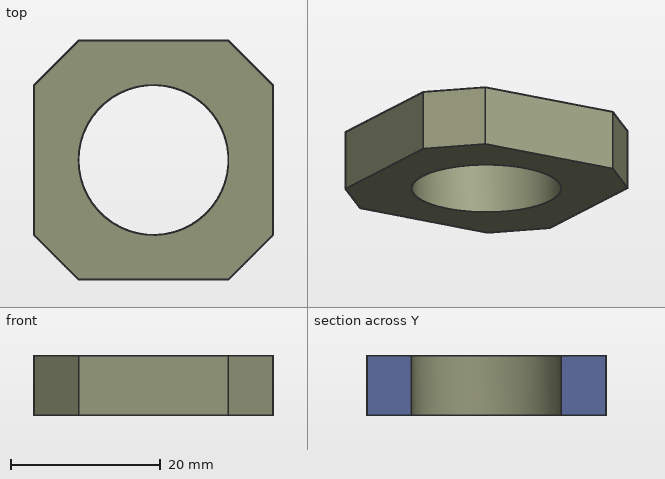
import cadquery as cq

side_length = 32.0
thickness = 8.0
corner_chamfer = 6.0
bore_diameter = 20.0


def make_body():
    """Square plate with its four upright corners cut off at 45 degrees."""
    plate = cq.Workplane("XY").box(side_length, side_length, thickness)
    return plate.edges("|Z").chamfer(corner_chamfer)


def cut_bore(body):
    """Round hole through the centre of the plate."""
    return body.faces(">Z").workplane().hole(bore_diameter)


result = cut_bore(make_body())